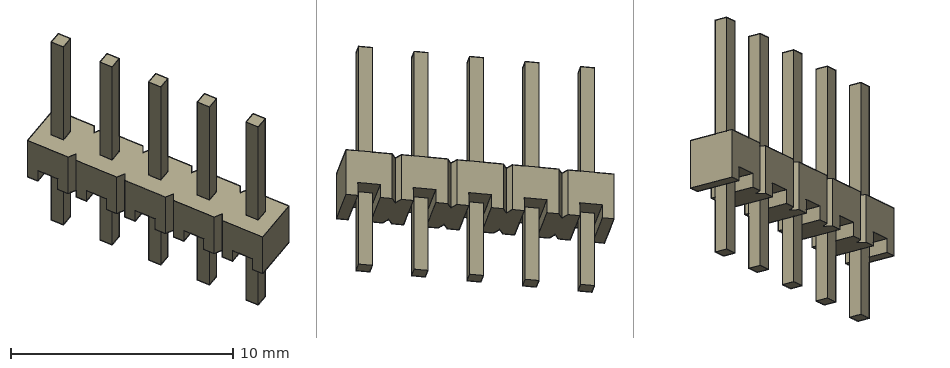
import cadquery as cq

pin_count = 5
pitch = 2.55
length = 12.29
width = 2.34
housing_height = 2.3

pin_side = 0.64
pin_below = 3.05
total_height = 11.18

notch_width = 0.42
notch_depth = 0.37

channel_width = 1.03
channel_depth = 0.66

pin_positions = [(i - (pin_count - 1) / 2) * pitch for i in range(pin_count)]
notch_positions = [x + pitch / 2 for x in pin_positions[:-1]]


def make_housing():
    """Block standing on Z = 0, centred in X and Y."""
    return cq.Workplane("XY").box(length, width, housing_height, centered=(True, True, False))


def make_notch(x, side):
    """Vertical V-shaped cutter on the long face at the given side (+1 or -1 in Y)."""
    face_y = side * width / 2
    return (
        cq.Workplane("XY")
        .moveTo(x - notch_width / 2, face_y)
        .lineTo(x + notch_width / 2, face_y)
        .lineTo(x, face_y - side * notch_depth)
        .close()
        .extrude(housing_height)
    )


def make_channel(x):
    """Cutter for a channel across the full width, open at the bottom."""
    return (
        cq.Workplane("XY")
        .box(channel_width, width, channel_depth, centered=(True, True, False))
        .translate((x, 0, 0))
    )


def make_pin(x):
    """Square pin passing through the housing."""
    return (
        cq.Workplane("XY")
        .box(pin_side, pin_side, total_height, centered=(True, True, False))
        .translate((x, 0, -pin_below))
    )


result = make_housing()
for notch_x in notch_positions:
    for notch_side in (1, -1):
        result = result.cut(make_notch(notch_x, notch_side))
for pin_x in pin_positions:
    result = result.cut(make_channel(pin_x))
for pin_x in pin_positions:
    result = result.union(make_pin(pin_x))